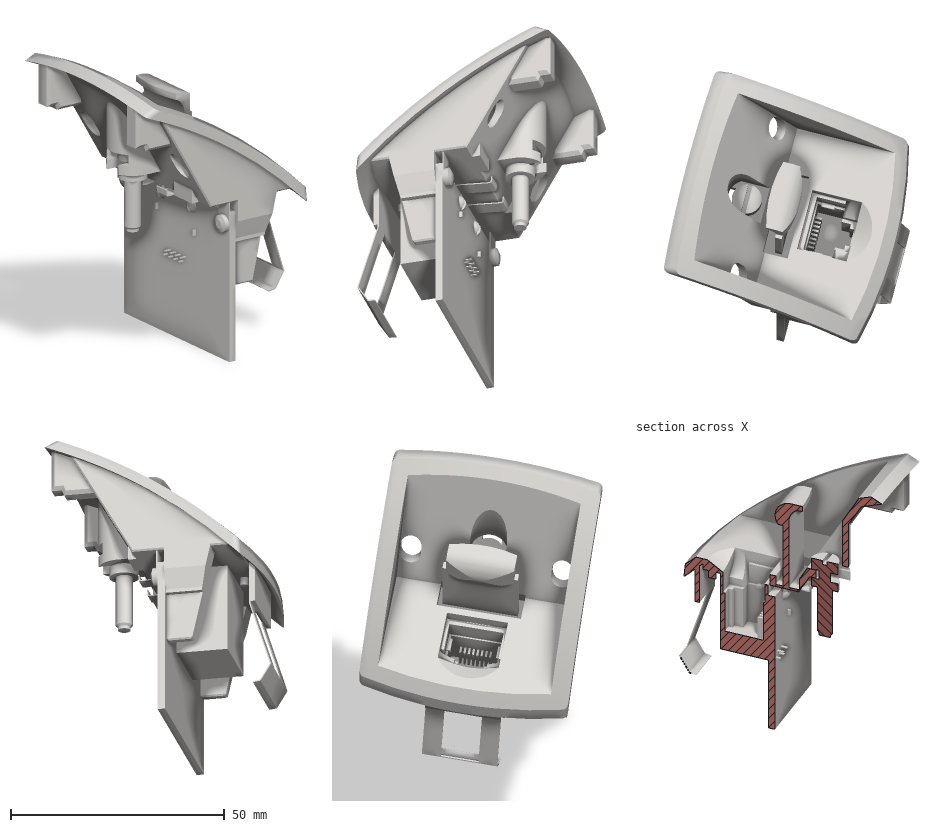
import cadquery as cq
import math

TOTAL_HEIGHT = 71.2
FAR = 142.4

FRAME_WIDTH = 49.7
FRAME_THICKNESS = 2.35
DOME_RADIUS = 134.9
DOME_CENTRE_Y = -72.8
FRONT_END_Y = -24.4
BACK_END_Y = 23.0
BACK_END_Z = 40.3
FRONT_END_LEAN = 25.4
BACK_END_LEAN = 84.3
FRONT_ARC_RADIUS = 106.8
BACK_ARC_RADIUS = 98.3
FRAME_CORNER_RADIUS = 1.4

CUP_WIDTH = 44.7
CUP_BACK_Y = 18.5
CUP_EDGE_CHAMFER = 0.35
FLOOR_BOTTOM = 39.9
FLOOR_TOP = 42.95
WALL_SLOPE = math.tan(math.radians(60))
WALL_FOOT_Y = -6.0
FLOOR_FRONT_Y = -5.8
OPENING_WIDTH = 41.15

FIXING_X = 18.0
FIXING_WIDTH = 5.0
FIXING_LENGTH = 6.5
FIXING_Z = 50.2

FOOT_X = 18.0
FOOT_WIDTH = 5.0
FOOT_FRONT_Y = -25.8
FOOT_BACK_Y = -15.7
FOOT_STEP_Y = (-22.8, -23.35)
FOOT_BOTTOM = 56.5
FOOT_STEP_TOP = 57.75
FOOT_CHAMFER = 0.85

BLOCK_X = 13.75
BLOCK_WIDTH = 7.3
BLOCK_FRONT_Y = -8.0
BLOCK_TOP = 43.6

SCREW_Y = -12.7
HEAD_DIAMETER = 7.0
HEAD_TOP = 50.3
HEAD_SLOT_WIDTH = 1.1
HEAD_SLOT_DEPTH = 1.1
NECK_DIAMETER = 3.0
COLLAR_BOTTOM = 42.45
SHANK_DIAMETER = 4.0
SHANK_BOTTOM = 30.4
TIP_CONE_HEIGHT = 0.5
TIP_BOTTOM = 29.2
BOSS_Y = -12.8
BOSS_DIAMETER = 11.95
BOSS_BOTTOM = 44.8
POCKET_FLOOR = 47.2
POCKET_WIDTH = 8.7
WINDOW_TOP = 50.0
NECK_SLOT_WIDTH = 4.7

BOARD_WIDTH = 42.7
BOARD_THICKNESS = 1.8
BOARD_TOP = 37.0
RIVET_X = 19.5
RIVET_Z = 34.1
RIVET_DIAMETER = 4.3
RIVET_TIP_DIAMETER = 2.1
RIVET_HEIGHT = 1.85
RIVET_CONE_HEIGHT = 0.5
BOARD_SCREW_X = 6.1
BOARD_SCREW_Z = 34.6
BOARD_SCREW_DIAMETER = 3.55
BOARD_SCREW_HEIGHT = 1.15
BOARD_SCREW_SLOT = 1.1
TAB_X = 7.55
TAB_SIZE = (0.35, 0.8, 1.4)
LEFT_TAB_Z = 30.6
RIGHT_TAB_Z = 28.3
PIN_COUNT = 8
PIN_PITCH = 1.02
PIN_SIZE = (0.6, 0.2)
LONG_PIN = (21.1, 1.65)
SHORT_PIN = (19.8, 1.3)

LEG_INNER_X = 17.3
LEG_BOTTOM = 17.95
LEG_TOP_Y = 12.8
LEG_BOTTOM_Y = 7.8
LEG_TAPER_TOP = 34.9
LEG_TAPER_BOTTOM = 30.2
LEG_TAPER = 1.5
LEG_STEP_Z = 29.35
LEG_OUTER_X = 19.5
LEG_CHAMFER = 0.35

JACK_WIDTH = 17.65
JACK_BACK_Y = 14.0
JACK_BOTTOM = 18.9
JACK_FACE = 34.75
MOUTH_WIDTH = 14.5
MOUTH_Y = (1.35, 13.3)
RECESS_WIDTH = 12.95
RECESS_FRONT_Y = 2.6
SHOULDER_Y = 9.5
SHOULDER_INNER_X = 3.9
SHOULDER_TOP_Y = 11.1
SCOOP_CENTRE_Y = 8.8
SCOOP_RADIUS = 8.55
SCOOP_DEPTH = 2.5
SOCKET_FLOOR = 24.2
SOCKET_STEPS = ((11.8, 3.0, SHOULDER_Y), (6.3, SHOULDER_Y, 11.7), (4.1, 11.7, 12.75))
CONTACT_SIZE = (0.5, 1.6, 5.7)
SIDE_TAB_X = 6.05
SIDE_TAB_Y = 5.5
SIDE_TAB_SIZE = (1.2, 3.1, 0.35)

SHUTTER_SLOT_WIDTH = 20.1
SHUTTER_SLOT_Y = (-6.2, -0.2)
SHUTTER_SLOT_FLOOR = 40.6
SHUTTER_WIDTH = 17.95
SHUTTER_Y = (-3.55, -1.9)
SHUTTER_TOP = 59.1
PULL_WIDTH = 16.25
PULL_BACK_Y = 0.15
PULL_BACK_SIDE_Y = -1.9
PULL_ROUND_MID = (0.1, 59.5)
PULL_FLAT_Y = -4.1
PULL_ROOT_Y = -0.7
PULL_FRONT_Y = -7.05
PULL_FRONT_SAG = 1.15
PULL_BOTTOM = 57.3
PULL_TOP = 64.0
LIP_BOTTOM = 62.45
LIP_INNER_Y = -5.7
HOLLOW_MID = (-4.3, 61.25)

FINGER_X = 4.85
FINGER_WIDTH = 4.0
FINGER_PATH = ((0.0, 39.2), (-6.8, 38.6), (-7.55, 38.7), (-7.7, 40.0))
SHEET = 0.3

STRAP_POST_Y = (19.2, 20.6)
STRAP_POST_BOTTOM = 30.4
STRAP_BEND_Z = 29.9
STRAP_TIP = (24.5, 14.25)
STRAP_HEEL = (21.85, 10.25)
STRAP_END = (20.2, 10.05)
STRAP_WIDTH = 17.95
STRAP_GAP = 9.0

PEG_Y = 16.1
PEG_DIAMETER = 2.1
PEG_BOTTOM = 37.95

DOME_CENTRE_Z = TOTAL_HEIGHT - math.sqrt(DOME_RADIUS**2 - (FRONT_END_Y - DOME_CENTRE_Y)**2)


def block(x_range, y_range, z_range):
    """Box between two X, two Y and two Z positions."""
    size = [high - low for low, high in (x_range, y_range, z_range)]
    corner = (x_range[0], y_range[0], z_range[0])
    return cq.Workplane("XY").box(*size, centered=False).translate(corner)


def centred_block(width, y_range, z_range):
    return block((-width / 2, width / 2), y_range, z_range)


def rod(diameter, y, z_range):
    """Upright cylinder on the symmetry plane."""
    height = z_range[1] - z_range[0]
    return cq.Workplane("XY", origin=(0, y, z_range[0])).circle(diameter / 2).extrude(height)


def side_extrusion(points, width):
    """Closed outline of (Y, Z) points extruded evenly to both sides of X = 0."""
    return cq.Workplane("YZ").polyline(points).close().extrude(width / 2, both=True)


def mirrored(shape):
    """A shape together with its mirror image across X = 0."""
    return shape.union(shape.mirror("YZ"))


def wall_inside_z(y):
    return FLOOR_TOP + WALL_SLOPE * (FLOOR_FRONT_Y - y)


def ball(radius):
    return cq.Workplane("XY").sphere(radius).translate((0, DOME_CENTRE_Y, DOME_CENTRE_Z))


def end_trim(origin, normal, arc_radius):
    """Long prism that trims one end of the frame to an arc with rounded corners."""
    half = FRAME_WIDTH / 2
    drop = arc_radius - math.sqrt(arc_radius**2 - half**2)
    prism = (
        cq.Workplane("XY")
        .moveTo(-half, -drop)
        .threePointArc((0, 0), (half, -drop))
        .lineTo(half, -FAR)
        .lineTo(-half, -FAR)
        .close()
        .extrude(FAR, both=True)
        .edges("|Z")
        .edges(">Y")
        .fillet(FRAME_CORNER_RADIUS)
    )
    plane = cq.Plane(origin=origin, xDir=(1, 0, 0), normal=normal)
    return cq.Workplane(obj=prism.val().moved(cq.Location(plane)))


def make_frame():
    """Slice of a spherical shell, trimmed by arcs at both ends."""
    front = math.radians(FRONT_END_LEAN)
    back = math.radians(BACK_END_LEAN)
    front_normal = (0, -math.cos(front), -math.sin(front))
    back_normal = (0, -math.cos(back), math.sin(back))
    front_trim = end_trim((0, FRONT_END_Y, TOTAL_HEIGHT), front_normal, FRONT_ARC_RADIUS)
    back_trim = end_trim((0, BACK_END_Y, BACK_END_Z), back_normal, BACK_ARC_RADIUS)
    trim = front_trim.intersect(back_trim)
    upper_half = centred_block(FAR, (-FAR, FAR), (0, FAR))
    return trim.intersect(upper_half).intersect(ball(DOME_RADIUS)).cut(
        ball(DOME_RADIUS - FRAME_THICKNESS)
    )


def make_cup():
    """Solid block below the frame, chamfered along the sides of its wall and floor."""
    outline = [
        (WALL_FOOT_Y, FLOOR_BOTTOM),
        (WALL_FOOT_Y - (TOTAL_HEIGHT - FLOOR_BOTTOM) / WALL_SLOPE, TOTAL_HEIGHT),
        (CUP_BACK_Y, TOTAL_HEIGHT),
        (CUP_BACK_Y, FLOOR_BOTTOM),
    ]
    cup = side_extrusion(outline, CUP_WIDTH)
    cup = cup.faces("<Y or <Z").edges("not |X").chamfer(CUP_EDGE_CHAMFER)
    return cup.intersect(ball(DOME_RADIUS - FRAME_THICKNESS / 2))


def make_opening():
    """Space above the floor and the steep wall."""
    outline = [
        (FAR, FLOOR_TOP),
        (FLOOR_FRONT_Y, FLOOR_TOP),
        (-FAR / 2, wall_inside_z(-FAR / 2)),
        (FAR, wall_inside_z(-FAR / 2)),
    ]
    return side_extrusion(outline, OPENING_WIDTH)


def make_fixing_slots():
    return (
        cq.Workplane("XZ")
        .pushPoints([(-FIXING_X, FIXING_Z), (FIXING_X, FIXING_Z)])
        .slot2D(FIXING_LENGTH, FIXING_WIDTH, 90)
        .extrude(-FOOT_FRONT_Y)
    )


def make_feet():
    """Stepped feet with chamfered edges, rising into the underside of the frame."""
    outline = [
        (FOOT_BACK_Y, FOOT_BOTTOM),
        (FOOT_STEP_Y[0], FOOT_BOTTOM),
        (FOOT_STEP_Y[1], FOOT_STEP_TOP),
        (FOOT_FRONT_Y, FOOT_STEP_TOP),
        (FOOT_FRONT_Y, TOTAL_HEIGHT),
        (FOOT_BACK_Y, TOTAL_HEIGHT),
    ]
    foot = side_extrusion(outline, FOOT_WIDTH)
    foot = foot.edges("not |X").chamfer(FOOT_CHAMFER).translate((-FOOT_X, 0, 0))
    foot = foot.intersect(ball(DOME_RADIUS - FRAME_THICKNESS))
    return mirrored(foot)


def make_stop_blocks():
    x_range = (BLOCK_X - BLOCK_WIDTH / 2, BLOCK_X + BLOCK_WIDTH / 2)
    return mirrored(block(x_range, (BLOCK_FRONT_Y, WALL_FOOT_Y), (FLOOR_BOTTOM, BLOCK_TOP)))


def u_prism(width, z_range):
    """Upright prism with a round end about the boss axis, straight towards +Y."""
    round_end = rod(width, BOSS_Y, z_range)
    return round_end.union(centred_block(width, (BOSS_Y, FLOOR_FRONT_Y), z_range))


def make_boss():
    return u_prism(BOSS_DIAMETER, (BOSS_BOTTOM, TOTAL_HEIGHT))


def make_boss_pocket():
    """Head pocket, side window for the head and slot for the neck."""
    pocket = u_prism(POCKET_WIDTH, (POCKET_FLOOR, TOTAL_HEIGHT))
    front = (BOSS_Y - BOSS_DIAMETER, BOSS_Y)
    window = centred_block(POCKET_WIDTH, front, (POCKET_FLOOR, WINDOW_TOP))
    neck_range = (BOSS_BOTTOM, POCKET_FLOOR)
    neck_slot = centred_block(NECK_SLOT_WIDTH, front, neck_range)
    neck_seat = rod(NECK_SLOT_WIDTH, BOSS_Y, neck_range)
    return pocket.union(window).union(neck_slot).union(neck_seat)


def make_legs():
    """Tapered legs that carry the board, narrowing in X below the cup."""
    profile = [
        (BOARD_THICKNESS, FLOOR_TOP),
        (LEG_TOP_Y, FLOOR_TOP),
        (LEG_TOP_Y, FLOOR_BOTTOM),
        (LEG_BOTTOM_Y, LEG_BOTTOM),
        (BOARD_THICKNESS, LEG_BOTTOM),
    ]
    outer = CUP_WIDTH / 2
    front_outline = [
        (LEG_INNER_X, FLOOR_TOP),
        (outer, FLOOR_TOP),
        (outer, LEG_TAPER_TOP),
        (outer - LEG_TAPER, LEG_TAPER_BOTTOM),
        (outer - LEG_TAPER, LEG_STEP_Z),
        (LEG_OUTER_X, LEG_STEP_Z),
        (LEG_OUTER_X, LEG_BOTTOM),
        (LEG_INNER_X, LEG_BOTTOM),
    ]
    across = cq.Workplane("XZ").polyline(front_outline).close().extrude(-LEG_TOP_Y)
    leg = side_extrusion(profile, CUP_WIDTH).intersect(across)
    return mirrored(leg.faces("<Z").chamfer(LEG_CHAMFER))


def make_peg():
    return rod(PEG_DIAMETER, PEG_Y, (PEG_BOTTOM, FLOOR_TOP))


def revolved_stud(outline, x, z):
    """Round part on the board, from a closed outline with radius along X and height along Y."""
    stud = outline.close().revolve(360, (0, 0, 0), (0, 1, 0))
    return stud.rotate((0, 0, 0), (0, 0, 1), 180).translate((x, 0, z))


def make_board():
    return centred_block(BOARD_WIDTH, (0, BOARD_THICKNESS), (0, BOARD_TOP))


def make_rivet_tabs():
    """Thin tabs under the floor that lie on the board around the rivets."""
    half = RIVET_DIAMETER / 2
    tab = block((RIVET_X - half, RIVET_X + half), (-SHEET, 0), (RIVET_Z, FLOOR_BOTTOM))
    round_end = cq.Workplane("XZ", origin=(RIVET_X, 0, RIVET_Z)).circle(half).extrude(SHEET)
    return mirrored(tab.union(round_end))


def make_rivets():
    radius = RIVET_DIAMETER / 2
    tip = RIVET_TIP_DIAMETER / 2
    outline = cq.Workplane("XY").polyline(
        [
            (0, 0),
            (radius, 0),
            (radius, RIVET_HEIGHT - RIVET_CONE_HEIGHT),
            (tip, RIVET_HEIGHT),
            (0, RIVET_HEIGHT),
        ]
    )
    return mirrored(revolved_stud(outline, RIVET_X, RIVET_Z))


def make_board_screws():
    """Domed heads with an upright slot."""
    half = BOARD_SCREW_DIAMETER / 2
    radius = (half**2 + BOARD_SCREW_HEIGHT**2) / (2 * BOARD_SCREW_HEIGHT)
    mid_x = half / 2
    mid_y = BOARD_SCREW_HEIGHT - radius + math.sqrt(radius**2 - mid_x**2)
    outline = (
        cq.Workplane("XY")
        .lineTo(half, 0)
        .threePointArc((mid_x, mid_y), (0, BOARD_SCREW_HEIGHT))
    )
    dome = revolved_stud(outline, BOARD_SCREW_X, BOARD_SCREW_Z)
    slot = centred_block(BOARD_SCREW_SLOT, (-BOARD_SCREW_HEIGHT, 0), (-half, half))
    return mirrored(dome.cut(slot.translate((BOARD_SCREW_X, 0, BOARD_SCREW_Z))))


def make_solder_tails():
    """Two shield tabs and two staggered rows of four pins."""
    tails = []
    for x, z in ((-TAB_X, LEFT_TAB_Z), (TAB_X, RIGHT_TAB_Z)):
        width, length, height = TAB_SIZE
        tails.append(cq.Workplane("XY").box(width, 2 * length, height).translate((x, 0, z)))
    for index in range(PIN_COUNT):
        x = (index - (PIN_COUNT - 1) / 2) * PIN_PITCH
        z, length = LONG_PIN if index % 2 else SHORT_PIN
        width, height = PIN_SIZE
        tails.append(cq.Workplane("XY").box(width, 2 * length, height).translate((x, 0, z)))
    return tails


def make_jack():
    return centred_block(JACK_WIDTH, (BOARD_THICKNESS, JACK_BACK_Y), (JACK_BOTTOM, FLOOR_TOP))


def make_jack_mouth():
    """Plug mouth with a finger scoop behind it and two hollowed shoulders."""
    mouth = centred_block(MOUTH_WIDTH, (MOUTH_Y[0], SHOULDER_Y), (FLOOR_BOTTOM, FLOOR_TOP))
    recess = centred_block(RECESS_WIDTH, (RECESS_FRONT_Y, SHOULDER_Y), (JACK_FACE, FLOOR_TOP))
    middle = centred_block(2 * SHOULDER_INNER_X, (SHOULDER_Y, MOUTH_Y[1]), (JACK_FACE, FLOOR_TOP))
    shoulder_face = [
        (SHOULDER_Y, JACK_FACE),
        (SHOULDER_TOP_Y, FLOOR_TOP),
        (SHOULDER_Y, FLOOR_TOP),
    ]
    mouth = mouth.union(recess).union(middle)
    mouth = mouth.union(side_extrusion(shoulder_face, MOUTH_WIDTH))

    trough_radius = math.sqrt(SCOOP_RADIUS**2 - (MOUTH_Y[1] - SCOOP_CENTRE_Y)**2)
    trough = (
        cq.Workplane("XZ", origin=(0, SHOULDER_Y, FLOOR_TOP))
        .circle(trough_radius)
        .extrude(SHOULDER_Y - MOUTH_Y[1])
    )
    scoop = cq.Workplane("XY").add(
        cq.Solid.makeCone(
            MOUTH_Y[1] - SCOOP_CENTRE_Y,
            SCOOP_RADIUS,
            SCOOP_DEPTH,
            cq.Vector(0, SCOOP_CENTRE_Y, FLOOR_TOP - SCOOP_DEPTH),
        )
    )
    behind = centred_block(FAR, (MOUTH_Y[1], FAR), (JACK_FACE, FAR))
    return mouth.union(trough).union(scoop.intersect(behind))


def make_socket():
    """Stepped plug cavity."""
    width, front_y, back_y = SOCKET_STEPS[0]
    socket = centred_block(width, (front_y, back_y), (SOCKET_FLOOR, JACK_FACE))
    for width, front_y, back_y in SOCKET_STEPS[1:]:
        socket = socket.union(centred_block(width, (front_y, back_y), (SOCKET_FLOOR, JACK_FACE)))
    return socket


def make_jack_contacts():
    """Eight contacts on the -Y wall of the socket and a spring tab on each side."""
    width, length, height = CONTACT_SIZE
    front_y = SOCKET_STEPS[0][1]
    parts = []
    for index in range(PIN_COUNT):
        x = (index - (PIN_COUNT - 1) / 2) * PIN_PITCH
        parts.append(
            block(
                (x - width / 2, x + width / 2),
                (front_y, front_y + length),
                (SOCKET_FLOOR, SOCKET_FLOOR + height),
            )
        )
    width, length, height = SIDE_TAB_SIZE
    for x in (-SIDE_TAB_X, SIDE_TAB_X):
        tab = cq.Workplane("XY").box(width, length, 2 * height)
        parts.append(tab.translate((x, SIDE_TAB_Y, JACK_FACE)))
    return parts


def make_shutter_slot():
    return centred_block(SHUTTER_SLOT_WIDTH, SHUTTER_SLOT_Y, (SHUTTER_SLOT_FLOOR, SHUTTER_TOP))


def make_shutter():
    return centred_block(SHUTTER_WIDTH, SHUTTER_Y, (SHUTTER_SLOT_FLOOR, SHUTTER_TOP))


def make_pull():
    """Hooked pull: a curved side profile within a lens-shaped plan."""
    half = PULL_WIDTH / 2
    hook = (
        cq.Workplane("YZ")
        .moveTo(SHUTTER_Y[0], PULL_BOTTOM)
        .lineTo(PULL_ROOT_Y, PULL_BOTTOM)
        .threePointArc(PULL_ROUND_MID, (PULL_FLAT_Y, PULL_TOP))
        .lineTo(PULL_FRONT_Y, PULL_TOP)
        .lineTo(PULL_FRONT_Y, LIP_BOTTOM)
        .lineTo(LIP_INNER_Y, LIP_BOTTOM)
        .threePointArc(HOLLOW_MID, (SHUTTER_Y[0], SHUTTER_TOP))
        .close()
        .extrude(half, both=True)
    )
    front_side_y = PULL_FRONT_Y + PULL_FRONT_SAG
    lens = (
        cq.Workplane("XY", origin=(0, 0, PULL_BOTTOM))
        .moveTo(-half, PULL_BACK_SIDE_Y)
        .threePointArc((0, PULL_BACK_Y), (half, PULL_BACK_SIDE_Y))
        .lineTo(half, front_side_y)
        .threePointArc((0, PULL_FRONT_Y), (-half, front_side_y))
        .close()
        .extrude(PULL_TOP - PULL_BOTTOM)
    )
    return hook.intersect(lens)


def strip(path, width):
    """Sheet strip along a path of (Y, Z) points."""
    wire = cq.Workplane("YZ").polyline(path)
    return wire.offset2D(SHEET / 2).extrude(width / 2, both=True)


def make_fingers():
    """Two spring fingers from the jack, turned up at their tips."""
    path = [(BOARD_THICKNESS, FINGER_PATH[0][1]), *FINGER_PATH]
    return mirrored(strip(path, FINGER_WIDTH).translate((FINGER_X, 0, 0)))


def make_earth_spring():
    """Two straps hanging from the frame, joined by a hooked sheet at their ends."""
    bend = (STRAP_POST_Y[0] + SHEET / 2, STRAP_BEND_Z)
    tip = (STRAP_TIP[0] - SHEET / 2, STRAP_TIP[1])
    straps = strip([(bend[0], FLOOR_BOTTOM), bend, tip], STRAP_WIDTH)
    gap = centred_block(STRAP_GAP, (0, FAR), (STRAP_TIP[1] + SHEET, FLOOR_BOTTOM))
    hook = strip([tip, STRAP_HEEL, STRAP_END], STRAP_WIDTH)
    post = centred_block(STRAP_WIDTH, STRAP_POST_Y, (STRAP_POST_BOTTOM, FLOOR_BOTTOM + 0.7))
    return straps.cut(gap).union(hook).union(post)


def make_module():
    """Cover with the board, jack, shutter and springs that it carries."""
    cover = make_frame().union(make_cup()).union(make_feet()).union(make_boss())
    cover = cover.union(make_stop_blocks()).union(make_legs()).union(make_jack()).union(make_peg())
    cover = cover.cut(make_opening())
    for space in (make_fixing_slots(), make_boss_pocket(), make_jack_mouth(), make_socket()):
        cover = cover.cut(space)
    cover = cover.cut(make_shutter_slot())

    parts = [make_board(), make_rivet_tabs(), make_rivets(), make_board_screws()]
    parts += [make_shutter(), make_pull(), make_fingers(), make_earth_spring()]
    parts += make_solder_tails() + make_jack_contacts()
    for part in parts:
        cover = cover.union(part)
    return cover


def make_screw():
    """Captive slotted screw with a retaining collar."""
    shank = SHANK_DIAMETER / 2
    neck = NECK_DIAMETER / 2
    head = HEAD_DIAMETER / 2
    outline = [
        (0, TIP_BOTTOM),
        (neck, TIP_BOTTOM),
        (neck, SHANK_BOTTOM - TIP_CONE_HEIGHT),
        (shank, SHANK_BOTTOM),
        (shank, COLLAR_BOTTOM),
        (head, COLLAR_BOTTOM),
        (head, BOSS_BOTTOM),
        (neck, BOSS_BOTTOM),
        (neck, POCKET_FLOOR),
        (head, POCKET_FLOOR),
        (head, HEAD_TOP),
        (0, HEAD_TOP),
    ]
    screw = cq.Workplane("XZ").polyline(outline).close().revolve(360, (0, 0, 0), (0, 1, 0))
    slot = cq.Workplane("XY").box(2 * head, HEAD_SLOT_WIDTH, 2 * HEAD_SLOT_DEPTH)
    return screw.cut(slot.translate((0, 0, HEAD_TOP))).translate((0, SCREW_Y, 0))


module = make_module()
screw = make_screw()
result = cq.Compound.makeCompound([*module.vals(), screw.val()])